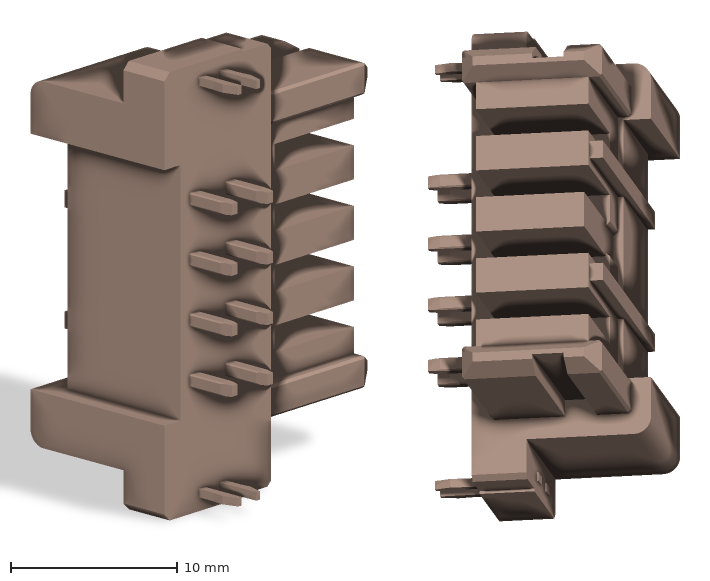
import cadquery as cq

HOUSING_LEFT = -5.45
HOUSING_RIGHT = 3.83
HOUSING_FRONT = -8.65
HOUSING_BACK = -0.65
HOUSING_HALF_HEIGHT = 8.03

FLANGE_LEFT = -7.13
FLANGE_FRONT = -10.1
FLANGE_HALF_HEIGHT = 11.53
FLANGE_RADIUS = 1.05
EAR_LEFT = 0.48
EAR_HALF_HEIGHT = 14.1
EAR_STEP_Y = -3.18
EAR_STEP = 0.17
EAR_FRONT_CHAMFER = 0.48
EAR_BACK_CHAMFER = 0.35

COMB_LEFT = -5.1
FINGER_END = 8.88
ROOT_END = 1.85
SLOT_HEIGHT = 1.65
CONTACT_PITCH = 3.8
RECESS_DEPTH = 0.25
RECESS_HALF_HEIGHT = 0.85

BLADE_LEFT = -5.95
BLADE_WIDTH = 8.57
BLADE_THICKNESS = 2.03
BLADE_HALF_GAP = 8.2
BLADE_CHAMFER = 0.17
BLADE_TIP_Y = 10.12
BLADE_TIP_WIDTH = 6.82
BLADE_TIP_THICKNESS = 0.55
GROOVE_WIDTH = 1.95
GROOVE_DEPTH = 1.01
GROOVE_OFFSET = 2.1

RIB_LEFT = -5.92
RIB_HEIGHT = 1.07
RIB_FRONT = -8.4
RIB_BACK = 8.4

ROW_MIDDLE_Y = -5.9
PIN_ROW_OFFSET = 1.58
PIN_SIZE = 0.82
PIN_CHAMFER = 0.08
PIN_SHOULDER_X = 6.37
PIN_END_X = 7.15
PIN_TIP_Y = 0.5
PIN_TIP_Z = 0.7
CLIP_Z = 12.93
CLIP_THICKNESS = 0.54
CLIP_HEAD_PROUD = 0.08
CLIP_HEAD_WIDTH = 1.1
CLIP_HEAD_OFFSET = 1.27
CLIP_HEAD_LENGTH = 0.85
PRONG_INNER = 0.65
PRONG_OUTER = 1.18
PRONG_BARB = 1.27
PRONG_END_OUTER = 0.95
BARB_START_X = 5.05
BARB_PEAK_X = 5.85
PRONG_END_X = 6.88

blade_middle_x = BLADE_LEFT + BLADE_WIDTH / 2
plug_right = 2 * blade_middle_x - COMB_LEFT
contact_heights = (CONTACT_PITCH / 2, 1.5 * CONTACT_PITCH)


def block(x_min, x_max, y_min, y_max, z_min, z_max):
    """Box between the given limits."""
    size = (x_max - x_min, y_max - y_min, z_max - z_min)
    return cq.Workplane("XY").box(*size, centered=False).translate((x_min, y_min, z_min))


def tapered_bar(width, height, chamfer, length, tip_width, tip_height, tip_length):
    """Bar along local Z with chamfered long edges and a tip that tapers in both directions."""
    full = length + tip_length
    bar = cq.Workplane("XY").rect(width, height).extrude(full).edges("|Z").chamfer(chamfer)
    shank = cq.Workplane("XY").rect(width, height).extrude(length)
    tip = (
        cq.Workplane("XY", origin=(0, 0, length)).rect(width, height)
        .workplane(offset=tip_length).rect(tip_width, tip_height).loft(ruled=True)
    )
    return bar.intersect(shank.union(tip))


def with_mirror(shape):
    """The shape together with its mirror image below Z = 0."""
    return shape.union(shape.mirror("XY"))


def make_flange():
    """Upper flange with its rounded outer corner, stepped ear and ear chamfers."""
    flange = block(FLANGE_LEFT, HOUSING_RIGHT, FLANGE_FRONT, HOUSING_BACK,
                   HOUSING_HALF_HEIGHT, FLANGE_HALF_HEIGHT)
    flange = flange.edges("|Y and <X and >Z").fillet(FLANGE_RADIUS)
    low_top = EAR_HALF_HEIGHT - EAR_STEP
    ear = (
        cq.Workplane("YZ", origin=(EAR_LEFT, 0, 0))
        .moveTo(FLANGE_FRONT, HOUSING_HALF_HEIGHT)
        .lineTo(FLANGE_FRONT, EAR_HALF_HEIGHT - EAR_FRONT_CHAMFER)
        .lineTo(FLANGE_FRONT + EAR_FRONT_CHAMFER, EAR_HALF_HEIGHT)
        .lineTo(EAR_STEP_Y, EAR_HALF_HEIGHT)
        .lineTo(EAR_STEP_Y, low_top)
        .lineTo(HOUSING_BACK - EAR_BACK_CHAMFER, low_top)
        .lineTo(HOUSING_BACK, low_top - EAR_BACK_CHAMFER)
        .lineTo(HOUSING_BACK, HOUSING_HALF_HEIGHT)
        .close().extrude(HOUSING_RIGHT - EAR_LEFT)
    )
    return flange.union(ear)


def make_comb():
    """Root wall and fingers, with a shallow recess down the middle of the -X side."""
    comb = block(COMB_LEFT, plug_right, HOUSING_BACK, FINGER_END, -BLADE_HALF_GAP, BLADE_HALF_GAP)
    for center in contact_heights:
        slot = block(COMB_LEFT, plug_right, ROOT_END, FINGER_END,
                     center - SLOT_HEIGHT / 2, center + SLOT_HEIGHT / 2)
        comb = comb.cut(with_mirror(slot))
    recess_mouth = RECESS_HALF_HEIGHT + RECESS_DEPTH
    recess_floor = COMB_LEFT + RECESS_DEPTH
    recess = (
        cq.Workplane("XZ", origin=(0, HOUSING_BACK, 0))
        .polyline([
            (COMB_LEFT, -recess_mouth), (recess_floor, -RECESS_HALF_HEIGHT),
            (recess_floor, RECESS_HALF_HEIGHT), (COMB_LEFT, recess_mouth),
        ])
        .close().extrude(HOUSING_BACK - ROOT_END)
    )
    finger_recess = block(COMB_LEFT, recess_floor, ROOT_END, FINGER_END, -recess_mouth, recess_mouth)
    return comb.cut(recess).cut(finger_recess)


def make_blade():
    """Upper blade with a lengthwise keying groove in its outer face."""
    blade = tapered_bar(BLADE_WIDTH, BLADE_THICKNESS, BLADE_CHAMFER, FINGER_END - HOUSING_BACK,
                        BLADE_TIP_WIDTH, BLADE_TIP_THICKNESS, BLADE_TIP_Y - FINGER_END)
    blade_top = BLADE_HALF_GAP + BLADE_THICKNESS
    blade = blade.rotate((0, 0, 0), (1, 0, 0), -90)
    blade = blade.translate((blade_middle_x, HOUSING_BACK, BLADE_HALF_GAP + BLADE_THICKNESS / 2))
    groove_left = BLADE_LEFT + GROOVE_OFFSET
    groove = block(groove_left, groove_left + GROOVE_WIDTH, HOUSING_BACK, BLADE_TIP_Y,
                   blade_top - GROOVE_DEPTH, blade_top)
    return blade.cut(groove)


def make_rib():
    """Upper guide rib, standing proud of the housing and its finger."""
    return block(RIB_LEFT, COMB_LEFT, RIB_FRONT, RIB_BACK,
                 CONTACT_PITCH - RIB_HEIGHT / 2, CONTACT_PITCH + RIB_HEIGHT / 2)


def make_contact_pin(y, z):
    """Square contact pin pointing along +X from the housing."""
    pin = tapered_bar(PIN_SIZE, PIN_SIZE, PIN_CHAMFER, PIN_SHOULDER_X - HOUSING_RIGHT,
                      PIN_TIP_Z, PIN_TIP_Y, PIN_END_X - PIN_SHOULDER_X)
    return pin.rotate((0, 0, 0), (0, 1, 0), 90).translate((HOUSING_RIGHT, y, z))


def make_clip(side):
    """Half of the upper mounting clip: a barbed prong and its head; side is +1 or -1 along Y."""
    prong_outline = [
        (HOUSING_RIGHT, PRONG_INNER), (HOUSING_RIGHT, PRONG_OUTER), (BARB_START_X, PRONG_OUTER),
        (BARB_PEAK_X, PRONG_BARB), (PRONG_END_X, PRONG_END_OUTER), (PRONG_END_X, PRONG_INNER),
    ]
    bottom = CLIP_Z - CLIP_THICKNESS / 2
    prong = (
        cq.Workplane("XY", origin=(0, ROW_MIDDLE_Y, bottom))
        .polyline([(x, side * y) for x, y in prong_outline])
        .close().extrude(CLIP_THICKNESS)
    )
    head_left = EAR_LEFT - CLIP_HEAD_PROUD
    head_middle = ROW_MIDDLE_Y + side * CLIP_HEAD_OFFSET
    head = block(head_left, head_left + CLIP_HEAD_LENGTH,
                 head_middle - CLIP_HEAD_WIDTH / 2, head_middle + CLIP_HEAD_WIDTH / 2,
                 bottom, bottom + CLIP_THICKNESS)
    return prong, head


housing = block(HOUSING_LEFT, HOUSING_RIGHT, HOUSING_FRONT, HOUSING_BACK,
                -HOUSING_HALF_HEIGHT, HOUSING_HALF_HEIGHT)
result = housing.union(with_mirror(make_flange())).union(make_comb())
result = result.union(with_mirror(make_blade())).union(with_mirror(make_rib()))

for side in (-1, 1):
    for z in contact_heights:
        result = result.union(with_mirror(make_contact_pin(ROW_MIDDLE_Y + side * PIN_ROW_OFFSET, z)))
    for clip_piece in make_clip(side):
        result = result.union(with_mirror(clip_piece))